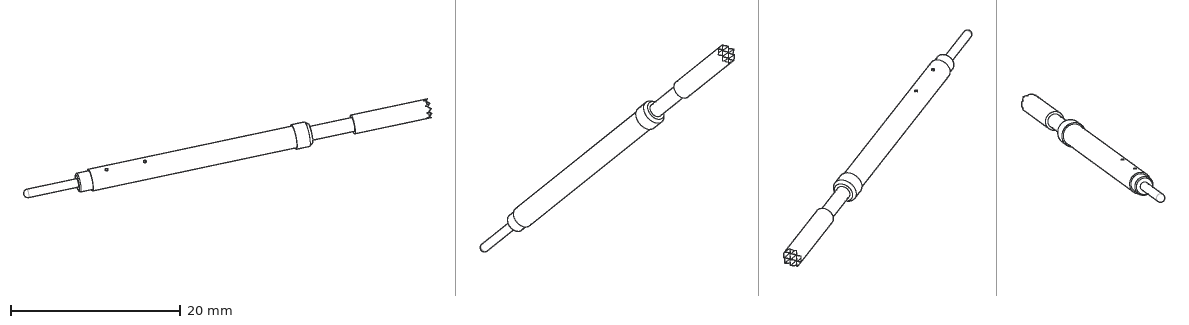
import cadquery as cq
import math

TOTAL_LENGTH = 49.8
HEAD_LENGTH = 9.45
SHAFT_LENGTH = 5.25
COLLAR_LENGTH = 2.0
BARREL_LENGTH = 24.95
STUB_LENGTH = 1.6
head_start = TOTAL_LENGTH - HEAD_LENGTH
collar_end = head_start - SHAFT_LENGTH
collar_start = collar_end - COLLAR_LENGTH
barrel_start = collar_start - BARREL_LENGTH
stub_start = barrel_start - STUB_LENGTH

HEAD_DIAMETER = 2.3
SHAFT_DIAMETER = 1.7
COLLAR_DIAMETER = 3.0
BARREL_DIAMETER = 2.65
STUB_DIAMETER = 2.3
PIN_DIAMETER = 1.05

COLLAR_CHAMFER_LENGTH = 0.4
COLLAR_CHAMFER_DEPTH = 0.3
STUB_CHAMFER = 0.15
PIN_DOME_HEIGHT = 0.5

TOOTH_PITCH = 0.85
TOOTH_HEIGHT = 0.65
TEETH_PER_ROW = 3

DIMPLE_DIAMETER = 0.35
DIMPLE_DEPTH = 0.15
DIMPLE_STATIONS = (10.15, 14.85)


def step(diameter, start, end):
    """Cylinder on the Y axis between two stations."""
    plane = cq.Plane(origin=(0, start, 0), xDir=(1, 0, 0), normal=(0, 1, 0))
    return cq.Workplane(plane).circle(diameter / 2).extrude(end - start)


def make_pin():
    """Tail pin with a domed tip."""
    radius = PIN_DIAMETER / 2
    dome_radius = (radius**2 + PIN_DOME_HEIGHT**2) / (2 * PIN_DOME_HEIGHT)
    arc_angle = math.acos((dome_radius - PIN_DOME_HEIGHT) / dome_radius)
    dome_mid_x = dome_radius * math.sin(arc_angle / 2)
    dome_mid_y = dome_radius * (1 - math.cos(arc_angle / 2))
    return (
        cq.Workplane("XY")
        .moveTo(0, 0)
        .threePointArc((dome_mid_x, dome_mid_y), (radius, PIN_DOME_HEIGHT))
        .lineTo(radius, stub_start)
        .lineTo(0, stub_start)
        .close()
        .revolve(360, (0, 0, 0), (0, 1, 0))
    )


def make_collar():
    """Collar with a chamfer towards the shaft."""
    return (
        step(COLLAR_DIAMETER, collar_start, collar_end)
        .faces(">Y")
        .chamfer(COLLAR_CHAMFER_LENGTH, COLLAR_CHAMFER_DEPTH)
    )


def v_groove(offset):
    """V groove running along Z across the end of the head."""
    half_pitch = TOOTH_PITCH / 2
    return (
        cq.Workplane("XY")
        .moveTo(offset - half_pitch, TOTAL_LENGTH)
        .lineTo(offset, TOTAL_LENGTH - TOOTH_HEIGHT)
        .lineTo(offset + half_pitch, TOTAL_LENGTH)
        .close()
        .extrude(HEAD_DIAMETER, both=True)
    )


def make_head():
    """Plunger head whose end is cut into pyramid teeth."""
    head = step(HEAD_DIAMETER, head_start, TOTAL_LENGTH)
    for i in range(TEETH_PER_ROW + 1):
        groove = v_groove((i - TEETH_PER_ROW / 2) * TOOTH_PITCH)
        head = head.cut(groove)
        head = head.cut(groove.rotate((0, 0, 0), (0, 1, 0), 90))
    return head


def make_barrel():
    """Barrel with round dimples along its top."""
    barrel = step(BARREL_DIAMETER, barrel_start, collar_start)
    for station in DIMPLE_STATIONS:
        dimple = (
            cq.Workplane("XY", origin=(0, station, BARREL_DIAMETER / 2 - DIMPLE_DEPTH))
            .circle(DIMPLE_DIAMETER / 2)
            .extrude(2 * DIMPLE_DEPTH)
        )
        barrel = barrel.cut(dimple)
    return barrel


stub = step(STUB_DIAMETER, stub_start, barrel_start).faces("<Y").chamfer(STUB_CHAMFER)
shaft = step(SHAFT_DIAMETER, collar_end, head_start)

result = make_pin().union(stub).union(make_barrel()).union(make_collar())
result = result.union(shaft).union(make_head())